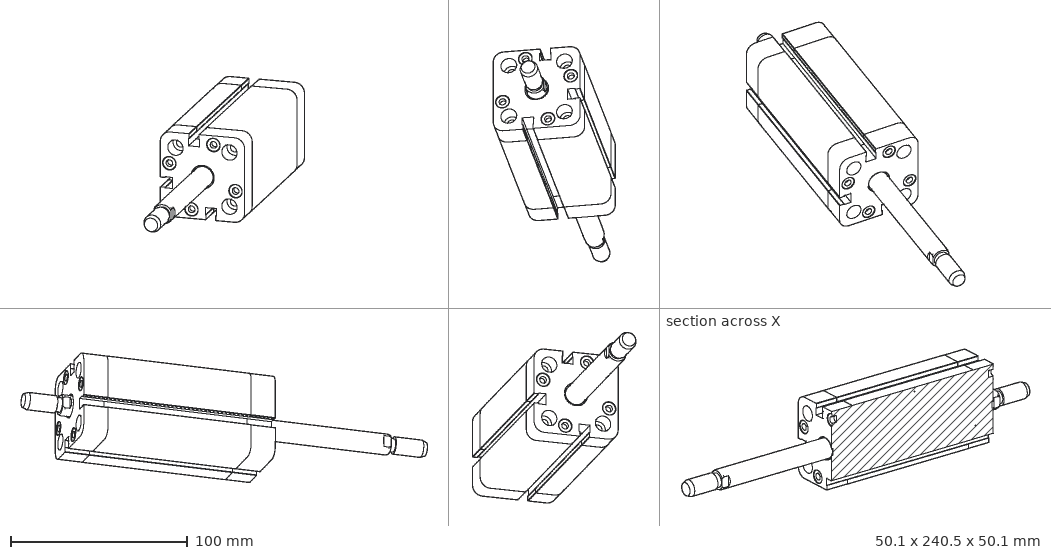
import cadquery as cq


cap_side = 50.0
tube_side = 50.1
corner_radius = 6.0
body_length = 114.6
cap_length = 14.5
tube_length = body_length - 2 * cap_length

slot_offset = 5.0
slot_depth = 7.2
slot_lip = 2.9
slot_wide_width = 6.5
slot_mouth_chamfer = 0.25
tube_neck_width = 5.5
cap_neck_width = 5.7
slot_angles = (0, 90, 180)

mount_spacing = 32.0
mount_diameter = 4.92
mount_bore_diameter = 9.0
mount_bore_depth = 10.0

screw_offset = 6.5
screw_radial = 19.6
screw_bore_diameter = 8.0
screw_head_diameter = 7.5
screw_recess = 0.25
socket_diameter = 3.9
socket_depth = 3.0

rod_diameter = 12.0
rod_clearance_diameter = 13.6
rod_clearance_depth = 1.0
front_extension = 98.2
rear_extension = 27.7
thread_diameter = 10.0
thread_tip_diameter = 7.9
thread_chamfer_length = 2.6
thread_length = 19.0
neck_diameter = 7.5
neck_root_diameter = 8.57
shoulder_distance = 22.0
shoulder_edge_diameter = 11.2
shoulder_taper_length = 1.3
flat_width = 10.0
flat_end_distance = 27.0
flat_runout = 0.7

body_middle = body_length / 2


def square_bar(side, y_start, length):
    """Square bar along Y with rounded long edges."""
    bar = cq.Workplane("XY").box(side, length, side).edges("|Y").fillet(corner_radius)
    return bar.translate((0, y_start + length / 2, 0))


def slot_cutter(side, neck_width, y_start, length):
    """T-slot opening towards +Z, with a chamfered mouth."""
    top = side / 2
    neck = neck_width / 2
    mouth = neck + slot_mouth_chamfer
    wide = slot_wide_width / 2
    lip_bottom = top - slot_lip
    half_outline = [
        (mouth, top),
        (neck, top - slot_mouth_chamfer),
        (neck, lip_bottom),
        (wide, lip_bottom),
        (wide, top - slot_depth),
    ]
    mirrored_half = [(-x, z) for x, z in reversed(half_outline)]
    outline = [(x - slot_offset, z) for x, z in half_outline + mirrored_half]
    cutter = cq.Workplane("XZ").polyline(outline).close().extrude(-length)
    return cutter.translate((0, y_start, 0))


def slotted_bar(side, neck_width, y_start, length):
    """One body section with its T-slots cut along the full length."""
    bar = square_bar(side, y_start, length)
    cutter = slot_cutter(side, neck_width, y_start, length)
    for angle in slot_angles:
        bar = bar.cut(cutter.rotate((0, 0, 0), (0, 1, 0), -angle))
    return bar


def cylinder_along_y(diameter, y_start, length):
    """Cylinder on the Y axis starting at y_start."""
    return cq.Workplane("XZ").circle(diameter / 2).extrude(-length).translate((0, y_start, 0))


def mirror_to_rear(shape):
    """Mirror a front-end shape about the middle plane of the body."""
    return shape.mirror("XZ", (0, body_middle, 0))


def end_face_cutter():
    """Recesses sunk into the front end face."""
    cutter = cylinder_along_y(rod_clearance_diameter, 0, rod_clearance_depth)
    mount_bore = cylinder_along_y(mount_bore_diameter, 0, mount_bore_depth)
    screw = (
        cq.Workplane("XZ")
        .circle(screw_bore_diameter / 2)
        .workplane(offset=-screw_recess)
        .circle(screw_head_diameter / 2)
        .loft(ruled=True)
    )
    screw = screw.union(cylinder_along_y(socket_diameter, screw_recess, socket_depth))
    for quarter in range(4):
        angle = 90 * quarter
        bore_here = mount_bore.translate((mount_spacing / 2, 0, mount_spacing / 2))
        screw_here = screw.translate((screw_offset, 0, screw_radial))
        for recess in (bore_here, screw_here):
            cutter = cutter.union(recess.rotate((0, 0, 0), (0, 1, 0), angle))
    return cutter


def make_body():
    """Tube between two end caps, with all holes."""
    body = slotted_bar(tube_side, tube_neck_width, cap_length, tube_length)
    for y_start in (0, body_length - cap_length):
        body = body.union(slotted_bar(cap_side, cap_neck_width, y_start, cap_length))
    mount_hole = cylinder_along_y(mount_diameter, 0, body_length)
    for x in (-mount_spacing / 2, mount_spacing / 2):
        for z in (-mount_spacing / 2, mount_spacing / 2):
            body = body.cut(mount_hole.translate((x, 0, z)))
    recesses = end_face_cutter()
    return body.cut(recesses).cut(mirror_to_rear(recesses))


def wrench_flat_cutter(tip):
    """Cutter for the +X wrench flat, with a sloped run-out at its inner end."""
    outline = [
        (flat_width / 2, tip + shoulder_distance),
        (flat_width / 2, tip + flat_end_distance - flat_runout),
        (rod_diameter / 2, tip + flat_end_distance),
        (rod_diameter / 2, tip + shoulder_distance),
    ]
    return cq.Workplane("XY").polyline(outline).close().extrude(rod_diameter / 2, both=True)


def make_rod_half(extension):
    """Rod from the body middle out through the front face, ending in a threaded tip."""
    tip = -extension
    outline = [
        (0, body_middle),
        (rod_diameter / 2, body_middle),
        (rod_diameter / 2, tip + shoulder_distance + shoulder_taper_length),
        (shoulder_edge_diameter / 2, tip + shoulder_distance),
        (neck_root_diameter / 2, tip + shoulder_distance),
        (neck_diameter / 2, tip + thread_length),
        (thread_diameter / 2, tip + thread_length),
        (thread_diameter / 2, tip + thread_chamfer_length),
        (thread_tip_diameter / 2, tip),
        (0, tip),
    ]
    rod = cq.Workplane("XY").polyline(outline).close().revolve(360, (0, 0, 0), (0, 1, 0))
    flat = wrench_flat_cutter(tip)
    return rod.cut(flat).cut(flat.mirror("YZ"))


front_rod = make_rod_half(front_extension)
rear_rod = mirror_to_rear(make_rod_half(rear_extension))
result = make_body().union(front_rod).union(rear_rod)